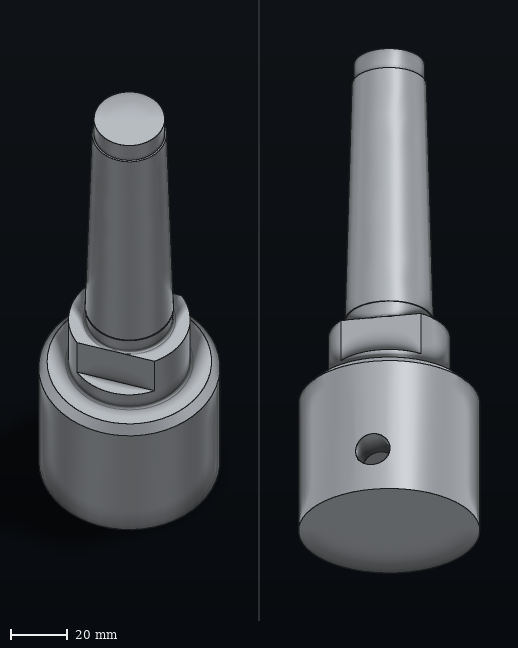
import cadquery as cq

total_height = 185.8
body_diameter = 64.0
body_height = 54.0
body_chamfer = 3.0

collar_diameter = 43.0
collar_height = 23.0
flat_width = 32.0
flat_height = 16.0

neck_diameter = 30.67
neck_height = 6.5
taper_large_diameter = 31.267
taper_ratio = 19.254
tip_diameter = 25.0
tip_height = 8.0

root_radius = 1.0

side_hole_diameter = 12.3
side_hole_height = 16.0
side_hole_depth = 14.0

collar_top = body_height + collar_height
taper_start = collar_top + neck_height
taper_end = total_height - tip_height
taper_small_diameter = taper_large_diameter - (taper_end - taper_start) / taper_ratio


def root_fillet(profile, radius, level):
    """Continue a half-profile through a concave quarter fillet rising from level to radius."""
    center_r = radius + root_radius
    center_z = level + root_radius
    diagonal = root_radius / 2**0.5
    return profile.lineTo(center_r, level).threePointArc(
        (center_r - diagonal, center_z - diagonal),
        (radius, center_z),
    )


def turned_blank():
    """Revolve the whole stepped and tapered half-profile about Z."""
    body_radius = body_diameter / 2
    collar_radius = collar_diameter / 2
    neck_radius = neck_diameter / 2
    tip_radius = tip_diameter / 2

    profile = (
        cq.Workplane("XZ")
        .moveTo(0, 0)
        .lineTo(body_radius, 0)
        .lineTo(body_radius, body_height - body_chamfer)
        .lineTo(body_radius - body_chamfer, body_height)
    )
    profile = root_fillet(profile, collar_radius, body_height)
    profile = profile.lineTo(collar_radius, collar_top)
    profile = root_fillet(profile, neck_radius, collar_top)
    profile = (
        profile.lineTo(neck_radius, taper_start)
        .lineTo(taper_large_diameter / 2, taper_start)
        .lineTo(taper_small_diameter / 2, taper_end)
        .lineTo(tip_radius, taper_end)
        .lineTo(tip_radius, total_height)
        .lineTo(0, total_height)
        .close()
    )
    return profile.revolve(360, (0, 0, 0), (0, 1, 0))


def wrench_flat_cutter(side):
    """Block that cuts one collar flat, on the +Y (side=1) or -Y (side=-1) side."""
    block_depth = collar_diameter / 2
    return (
        cq.Workplane("XY", origin=(0, side * (flat_width + block_depth) / 2, collar_top - flat_height))
        .rect(collar_diameter, block_depth)
        .extrude(flat_height + root_radius)
    )


def side_hole_cutter():
    """Blind radial hole entering the body from +Y."""
    hole_bottom = body_diameter / 2 - side_hole_depth
    return (
        cq.Workplane("XZ", origin=(0, hole_bottom, side_hole_height))
        .circle(side_hole_diameter / 2)
        .extrude(-side_hole_depth)
    )


result = turned_blank()
for side in (1, -1):
    result = result.cut(wrench_flat_cutter(side))
result = result.cut(side_hole_cutter())